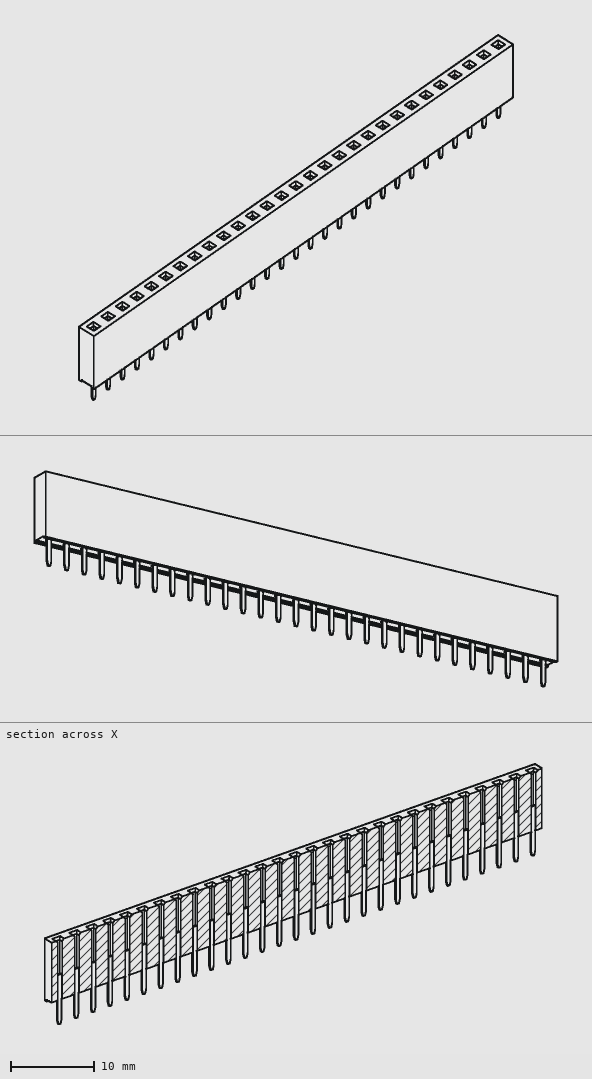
import cadquery as cq

contact_count = 29
housing_length = 73.65
housing_width = 2.5
overall_height = 11.6
pitch = housing_length / contact_count

contact_width = 0.6
contact_thickness = 0.2
contact_rise = 3.7
tail_length = 3.1
tip_width = 0.3
tip_length = 0.6

housing_height = overall_height - tail_length
groove_width = 1.6
groove_depth = 0.2

lead_in_width = 1.2
socket_width = contact_width
lead_in_depth = (lead_in_width - socket_width) / 2

first_contact_y = -housing_length / 2 + pitch / 2
contact_positions = [(0, first_contact_y + index * pitch) for index in range(contact_count)]


def make_housing():
    """Rectangular bar with a shallow groove along its underside, leaving two standoff rails."""
    bar = cq.Workplane("XY").box(
        housing_width, housing_length, housing_height, centered=(True, True, False)
    )
    groove = cq.Workplane("XY").box(
        groove_width, housing_length, groove_depth, centered=(True, True, False)
    )
    return bar.cut(groove)


def make_socket():
    """Square through hole with a pyramidal lead-in at the top, centred on the Z axis."""
    lead_in = (
        cq.Workplane("XY", origin=(0, 0, housing_height))
        .rect(lead_in_width, lead_in_width)
        .workplane(offset=-lead_in_depth)
        .rect(socket_width, socket_width)
        .loft(ruled=True)
    )
    hole = cq.Workplane("XY").rect(socket_width, socket_width).extrude(housing_height)
    return lead_in.union(hole)


def make_contact():
    """Flat contact with a tapered tip, centred on the Z axis."""
    shoulder_z = tip_length - tail_length
    outline = [
        (-contact_width / 2, contact_rise),
        (-contact_width / 2, shoulder_z),
        (-tip_width / 2, -tail_length),
        (tip_width / 2, -tail_length),
        (contact_width / 2, shoulder_z),
        (contact_width / 2, contact_rise),
    ]
    return cq.Workplane("YZ").polyline(outline).close().extrude(contact_thickness / 2, both=True)


def repeat_along_strip(feature):
    """Copies of a feature, one at every contact position."""
    shape = feature.val()
    return cq.Workplane("XY").pushPoints(contact_positions).eachpoint(
        lambda location: shape.located(location)
    )


sockets = repeat_along_strip(make_socket())
contacts = repeat_along_strip(make_contact())
result = make_housing().cut(sockets).union(contacts)